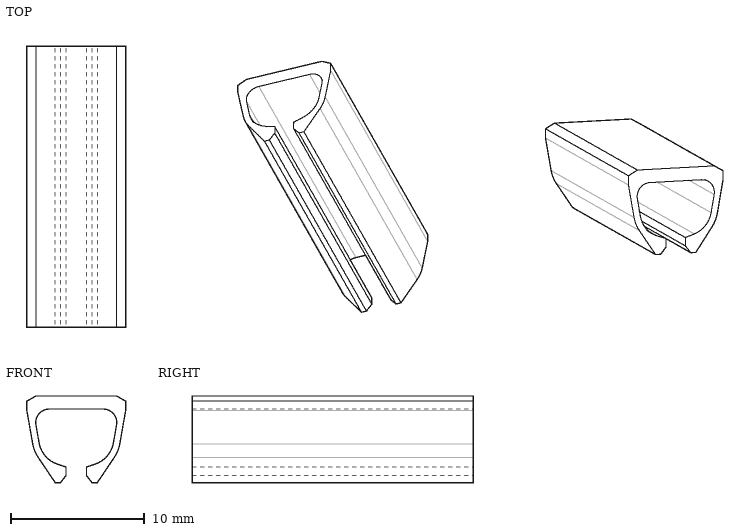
import cadquery as cq
import math

length = 21.0
width = 7.4
height = 6.5

top_flat_width = 6.0
top_bevel_height = 0.4
top_thickness = 1.0

wall_thickness = 0.5
wall_angle = math.radians(10)
wall_start_depth = 1.1
wall_start_z = height - wall_start_depth
half_width = width / 2

slot_width = 1.5
lip_top_z = 1.18
lip_bevel_z = 0.55
lip_floor_angle = math.radians(19)
foot_inner_x = 1.18
foot_outer_x = 1.57
flank_angle = math.radians(34)

outer_bend_radius = 2.6
inner_top_radius = 1.0
inner_bottom_radius = 2.0


def outer_wall_x(z):
    """X of the outer wall plane on the +X side at height z."""
    return half_width - (wall_start_z - z) * math.tan(wall_angle)


def inner_wall_x(z):
    """X of the inner wall plane, parallel to the outer one."""
    return outer_wall_x(z) - wall_thickness / math.cos(wall_angle)


bend_z = (outer_wall_x(0) - foot_outer_x) / (math.tan(flank_angle) - math.tan(wall_angle))
bend_x = outer_wall_x(bend_z)

cavity_top_z = height - top_thickness
cavity_top_x = inner_wall_x(cavity_top_z)
floor_rise = math.tan(lip_floor_angle)
floor_run = (inner_wall_x(lip_top_z) - slot_width / 2) / (1 - floor_rise * math.tan(wall_angle))
cavity_bottom_x = slot_width / 2 + floor_run
cavity_bottom_z = lip_top_z + floor_run * floor_rise


def sharp_channel():
    """C-shaped channel with sharp corners, centred on X and Y, feet at Z = 0."""
    right_half = [
        (top_flat_width / 2, height),
        (half_width, height - top_bevel_height),
        (half_width, wall_start_z),
        (bend_x, bend_z),
        (foot_outer_x, 0),
        (foot_inner_x, 0),
        (slot_width / 2, lip_bevel_z),
        (slot_width / 2, lip_top_z),
        (cavity_bottom_x, cavity_bottom_z),
        (cavity_top_x, cavity_top_z),
    ]
    left_half = [(-x, z) for x, z in reversed(right_half)]
    profile = cq.Workplane("XZ").polyline(right_half + left_half).close()
    return profile.extrude(length / 2, both=True)


def round_corner_pair(body, x, z, radius):
    """Round the two lengthwise edges at (x, z) and (-x, z)."""
    for side in (1, -1):
        edge = cq.selectors.NearestToPointSelector((side * x, 0, z))
        body = body.edges("|Y").edges(edge).fillet(radius)
    return body


result = sharp_channel()
result = round_corner_pair(result, bend_x, bend_z, outer_bend_radius)
result = round_corner_pair(result, cavity_top_x, cavity_top_z, inner_top_radius)
result = round_corner_pair(result, cavity_bottom_x, cavity_bottom_z, inner_bottom_radius)